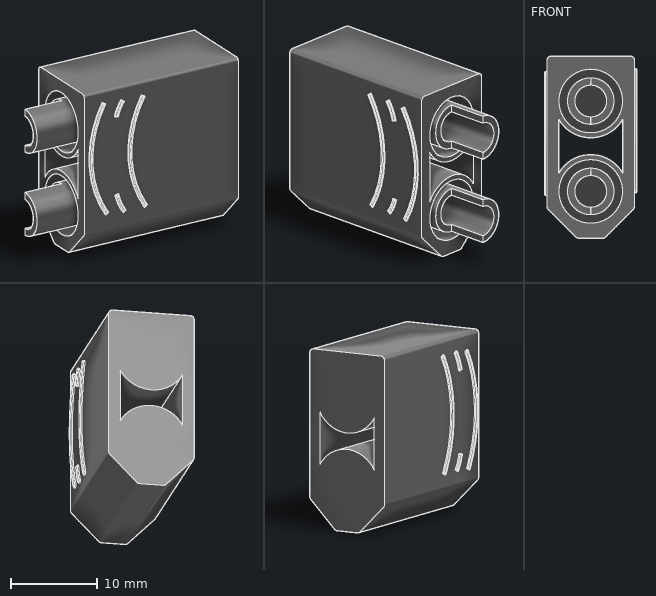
import cadquery as cq
import math

total_length = 26.0
tube_reach = 5.0
body_depth = total_length - tube_reach
overall_width = 10.8
body_width = 10.2
body_height = 21.2
corner_bevel = 3.5
edge_radius = 0.5

lower_port_z = 5.45
port_spacing = 10.5
port_heights = (lower_port_z, lower_port_z + port_spacing)
bore_radius = 3.7
sleeve_radius = 4.3
tube_outer_radius = 2.7
tube_inner_radius = 1.85
port_depth = body_depth / 2

rib_width = 0.45
rib_height = (overall_width - body_width) / 2
rib_chamfer = 0.13
rib_turn_z = 12.35
far_rib_shift = 0.08
rib_arcs = (
    ((8.22, 19.3), (6.05, 12.25), (7.88, 5.3)),
    ((5.3, 19.3), (4.68, 18.2), (4.3, 17.03)),
    ((4.2, 7.15), (4.55, 6.2), (5.07, 5.3)),
    ((2.9, 19.08), (0.75, 12.06), (2.52, 5.07)),
)


def cylinder(radius, z, y_start, y_end):
    """Cylinder along Y between two Y positions, centred at X = 0 and height z."""
    axis = cq.Vector(0, 1, 0)
    return cq.Workplane(cq.Solid.makeCylinder(radius, y_end - y_start, cq.Vector(0, y_start, z), axis))


def make_body():
    """Block with bevelled lower corners and rounded long edges."""
    half_width = body_width / 2
    half_base = half_width - corner_bevel
    outline = [
        (-half_base, 0),
        (half_base, 0),
        (half_width, corner_bevel),
        (half_width, body_height),
        (-half_width, body_height),
        (-half_width, corner_bevel),
    ]
    block = cq.Workplane("XZ").polyline(outline).close().extrude(-body_depth)
    return block.edges("|Y").fillet(edge_radius)


def make_window():
    """Through opening between the ports, bounded by the two sleeves."""
    window = cq.Workplane("XY").box(2 * bore_radius, body_depth, port_spacing, centered=(True, False, False))
    window = window.translate((0, 0, lower_port_z))
    for z in port_heights:
        window = window.cut(cylinder(sleeve_radius, z, 0, body_depth))
    return window


def make_tube(z):
    """Tube that is full inside the port and a half shell (+X side) in front of the body."""
    tube = cylinder(tube_outer_radius, z, -tube_reach, port_depth)
    cut_away = cq.Workplane("XY").box(tube_outer_radius, tube_reach, 2 * tube_outer_radius)
    cut_away = cut_away.translate((-tube_outer_radius / 2, -tube_reach / 2, z))
    hollow = cylinder(tube_inner_radius, z, -tube_reach, port_depth)
    return tube.cut(hollow).cut(cut_away)


def circle_centre(start, middle, end):
    """Centre of the circle through three points, found from its two chords that leave the start point."""
    y1 = middle[0] - start[0]
    z1 = middle[1] - start[1]
    y2 = end[0] - start[0]
    z2 = end[1] - start[1]
    square1 = y1**2 + z1**2
    square2 = y2**2 + z2**2
    divisor = 2 * (y1 * z2 - y2 * z1)
    centre_y = start[0] + (square1 * z2 - square2 * z1) / divisor
    centre_z = start[1] + (square2 * y1 - square1 * y2) / divisor
    return centre_y, centre_z


def make_rib(arc):
    """Raised arc on the -X flank with a chamfered crest."""
    centre_y, centre_z = circle_centre(*arc)
    radius = math.dist(arc[0], (centre_y, centre_z))

    def offset_arc(offset):
        """Points of the centre line moved away from the arc centre by the offset."""
        scale = (radius + offset) / radius
        return [(centre_y + (y - centre_y) * scale, centre_z + (z - centre_z) * scale) for y, z in arc]

    outer = offset_arc(rib_width / 2)
    inner = offset_arc(-rib_width / 2)
    rib = (
        cq.Workplane("YZ", origin=(-body_width / 2, 0, 0))
        .moveTo(*outer[0])
        .threePointArc(outer[1], outer[2])
        .lineTo(*inner[2])
        .threePointArc(inner[1], inner[0])
        .close()
        .extrude(-rib_height)
    )
    return rib.faces("<X").chamfer(rib_chamfer)


result = make_body().cut(make_window())
for z in port_heights:
    result = result.cut(cylinder(bore_radius, z, 0, port_depth))
    result = result.union(make_tube(z))

for arc in rib_arcs:
    rib = make_rib(arc)
    far_rib = rib.rotate((0, 0, rib_turn_z), (0, 1, rib_turn_z), 180).translate((0, far_rib_shift, 0))
    result = result.union(rib).union(far_rib)